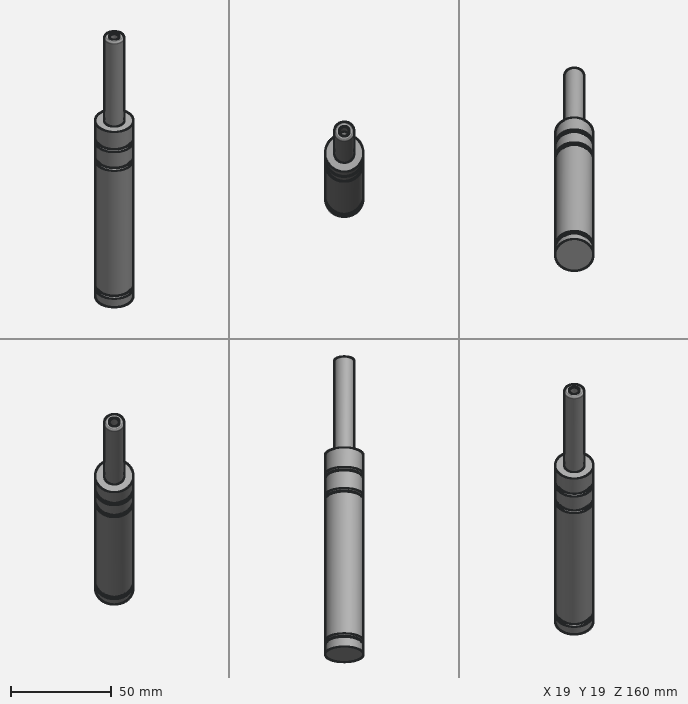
import cadquery as cq
import math

total_height = 160.0
body_diameter = 19.0
body_height = 108.2
rod_diameter = 10.0
rod_edge_radius = 1.0

groove_width = 2.0
groove_depth = 1.0
groove_heights = (6.2, body_height - 23.0, body_height - 11.5)

hole_diameter = 4.6
hole_depth = 12.0
hole_mouth_chamfer = 0.3
drill_point_angle = 118.0


def make_cylinder_and_rod():
    body = cq.Workplane("XY").circle(body_diameter / 2).extrude(body_height)
    rod = (
        cq.Workplane("XY")
        .circle(rod_diameter / 2)
        .extrude(total_height)
        .faces(">Z")
        .edges()
        .fillet(rod_edge_radius)
    )
    return body.union(rod)


def make_groove(height):
    """Triangular ring that cuts a V-groove centred at the given height."""
    radius = body_diameter / 2
    return (
        cq.Workplane("XZ")
        .moveTo(radius, height - groove_width / 2)
        .lineTo(radius - groove_depth, height)
        .lineTo(radius, height + groove_width / 2)
        .close()
        .revolve(360, (0, 0, 0), (0, 1, 0))
    )


def make_rod_hole():
    """Drilled hole with a conical bottom and a chamfered mouth."""
    radius = hole_diameter / 2
    floor = total_height - hole_depth
    point_depth = radius / math.tan(math.radians(drill_point_angle / 2))
    return (
        cq.Workplane("XZ")
        .moveTo(0, floor - point_depth)
        .lineTo(radius, floor)
        .lineTo(radius, total_height - hole_mouth_chamfer)
        .lineTo(radius + hole_mouth_chamfer, total_height)
        .lineTo(0, total_height)
        .close()
        .revolve(360, (0, 0, 0), (0, 1, 0))
    )


result = make_cylinder_and_rod()
for groove_height in groove_heights:
    result = result.cut(make_groove(groove_height))
result = result.cut(make_rod_hole())